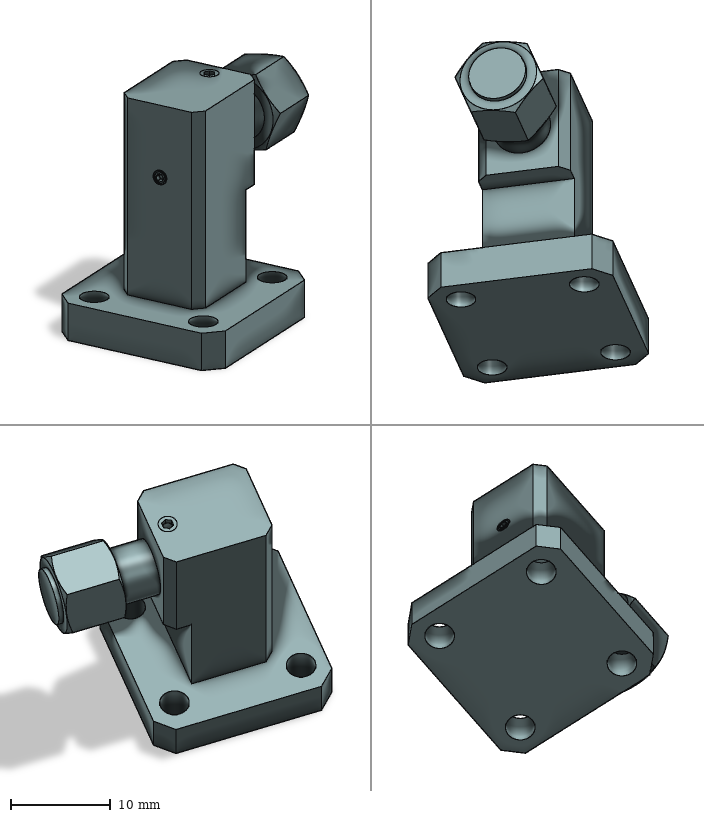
import cadquery as cq
import math

flange_side = 19.05
flange_height = 4.05
flange_chamfer = 1.75
mount_hole_diameter = 2.95
mount_hole_x = 6.35
mount_hole_y = 6.75

total_height = 25.4
block_width = 9.47
block_front_y = -4.62
block_back_y = 6.98
block_chamfer = 1.0
step_y = 4.32
step_z = 14.04

connector_z = 19.07
barrel_radius = 2.93
total_length = 27.35
connector_end_y = total_length - flange_side / 2
nut_start_y = 11.0
nut_end_y = 17.32
nut_across_flats = 8.0
nut_corner_radius = nut_across_flats / 2 / math.cos(math.pi / 6)
nut_rim_radius = 3.95
nut_chamfer_angle = 30
nut_roll = -8.7

screw_length = 2.0
socket_depth = 0.55
drill_point_angle = 118
top_screw_radius = 0.95
top_socket_corner_radius = 0.6
top_screw_y = 5.15
front_screw_radius = 0.6
front_socket_corner_radius = 0.45
front_screw_z = 17.55
front_recess_radius = 0.77
front_recess_depth = 0.1

top_screw_plane = cq.Plane(origin=(0, top_screw_y, total_height), xDir=(1, 0, 0), normal=(0, 0, 1))
front_screw_plane = cq.Plane(origin=(0, block_front_y, front_screw_z), xDir=(1, 0, 0), normal=(0, -1, 0))


def make_flange():
    """Chamfered square plate with four mounting holes."""
    return (
        cq.Workplane("XY")
        .rect(flange_side, flange_side)
        .extrude(flange_height)
        .edges("|Z")
        .chamfer(flange_chamfer)
        .faces(">Z")
        .workplane()
        .rect(2 * mount_hole_x, 2 * mount_hole_y, forConstruction=True)
        .vertices()
        .hole(mount_hole_diameter)
    )


def make_block():
    """Chamfered upright, cut back below the step on its +Y side."""
    depth = block_back_y - block_front_y
    upright = (
        cq.Workplane("XY", origin=(0, block_front_y + depth / 2, 0))
        .rect(block_width, depth)
        .extrude(total_height)
        .edges("|Z")
        .chamfer(block_chamfer)
    )
    undercut = cq.Workplane("XY").box(
        block_width, block_back_y - step_y, step_z, centered=(True, False, False)
    ).translate((0, step_y, 0))
    return upright.cut(undercut)


def make_cylinder(plane, radius, depth):
    """Cylinder sunk from the face that the plane lies on."""
    return cq.Workplane(plane).circle(radius).extrude(-depth)


def make_housing():
    """Flange and block in one piece, with the seats of both set screws."""
    return (
        make_flange()
        .union(make_block())
        .cut(make_cylinder(top_screw_plane, top_screw_radius, screw_length))
        .cut(make_cylinder(front_screw_plane, front_screw_radius, screw_length))
        .cut(make_cylinder(front_screw_plane, front_recess_radius, front_recess_depth))
    )


def make_nut():
    """Hexagon with both ends turned down to a conical chamfer."""
    length = nut_end_y - nut_start_y
    chamfer_length = (nut_corner_radius - nut_rim_radius) * math.tan(math.radians(nut_chamfer_angle))
    hexagon = (
        cq.Workplane("XY")
        .polygon(6, 2 * nut_corner_radius)
        .extrude(length)
    )
    turned_envelope = (
        cq.Workplane("XZ")
        .moveTo(0, 0)
        .lineTo(nut_rim_radius, 0)
        .lineTo(nut_corner_radius, chamfer_length)
        .lineTo(nut_corner_radius, length - chamfer_length)
        .lineTo(nut_rim_radius, length)
        .lineTo(0, length)
        .close()
        .revolve(360, (0, 0, 0), (0, 1, 0))
    )
    return (
        hexagon.intersect(turned_envelope)
        .rotate((0, 0, 0), (0, 0, 1), nut_roll)
        .rotate((0, 0, 0), (1, 0, 0), -90)
        .translate((0, nut_start_y, connector_z))
    )


def make_connector():
    """Round barrel that carries the hexagonal nut."""
    barrel = (
        cq.Workplane("XZ", origin=(0, block_back_y, connector_z))
        .circle(barrel_radius)
        .extrude(block_back_y - connector_end_y)
    )
    return barrel.union(make_nut())


def make_screw(plane, radius, socket_corner_radius):
    """Set screw with a hexagon socket that ends in a conical drill point."""
    drill_radius = socket_corner_radius * math.cos(math.pi / 6)
    point_depth = drill_radius / math.tan(math.radians(drill_point_angle / 2))
    socket = cq.Workplane(plane).polygon(6, 2 * socket_corner_radius).extrude(-socket_depth)
    drill_point = cq.Solid.makeCone(
        drill_radius,
        0,
        point_depth,
        pnt=plane.toWorldCoords((0, 0, -socket_depth)),
        dir=-plane.zDir,
    )
    return make_cylinder(plane, radius, screw_length).cut(socket).cut(cq.Workplane(drill_point))


housing = make_housing()
connector = make_connector()
top_screw = make_screw(top_screw_plane, top_screw_radius, top_socket_corner_radius)
front_screw = make_screw(front_screw_plane, front_screw_radius, front_socket_corner_radius)

result = cq.Compound.makeCompound([housing.val(), connector.val(), top_screw.val(), front_screw.val()])